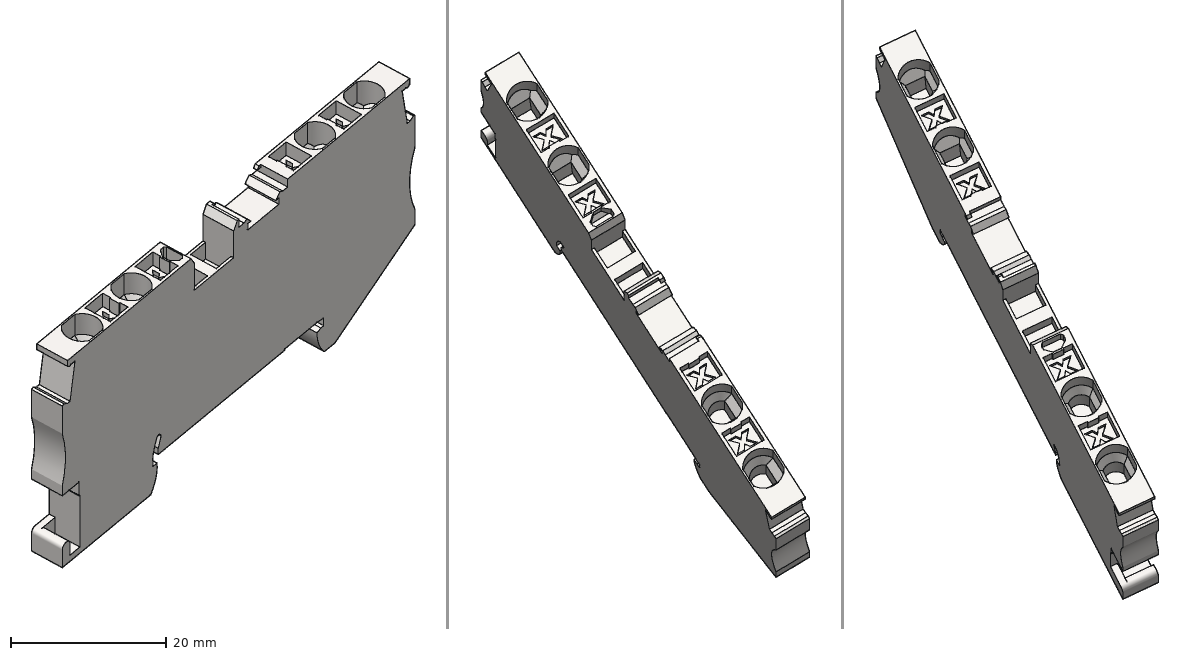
import cadquery as cq
import math

thickness = 5.1
length = 72.2
height = 35.2
half_length = length / 2

lip_reach = 35.0
lip_height = 1.0
lip_bead_drop = 0.3
lip_bead_reach = 34.6
lip_inner_reach = 34.3
groove_top = 34.1
groove_bottom = 27.8
groove_top_y = 33.5
groove_bottom_y = 34.5
ridge_foot_y = 35.1
ridge_crest_y = 35.75
ridge_crest = 28.2
ridge_end = 28.1

ramp_end_grip_top = 22.5
ramp_end_grip_bottom = 11.8
ramp_end_grip_depth = 1.1
window_end_grip_top = 23.25
window_end_grip_bottom = 14.2
window_end_grip_depth = 0.65

ramp_end_y = 19.7
ramp_height = 9.1
rail_ceiling = 5.9
raised_ceiling = 6.15
raised_ceiling_start_y = 16.0
raised_ceiling_end_y = 9.45

fixed_foot_base_y = 17.55
fixed_foot_flank = (16.5, 1.7)
fixed_foot_nose = (16.0, 4.3)
fixed_foot_step = (16.8, 4.6)
rail_notch_y = 17.4

sprung_foot_base_y = -18.0
sprung_foot_flank = (-16.9, 2.25)
sprung_foot_nose_y = -16.7
sprung_foot_step = 4.6
relief_mouth_y = -16.45
relief_bend = 7.0
relief_end = (-15.9, 8.75)
relief_crown = (-16.3, 9.25)
relief_shoulder = (-16.8, 8.9)
relief_outer_side = (-17.4, 7.1)
relief_outer_y = -17.55

window_wall_y = -32.6
window_lower_wall_y = -32.5
window_wall_step = 10.0
window_bottom = 3.9
window_top = 12.5
bead_radius = 0.8
bead_middle_y = -half_length + bead_radius
sill_groove_floor = 1.1
sill_skin = 1.0

trough_middle = 5.05
upper_half_width = 5.0
upper_floor = 33.85
lower_half_width = 3.2
lower_floor = 32.1
snap_half_width = 2.5
snap_bottom = 33.2
snap_top = 34.15
snap_shoulder = 3.4
snap_back = 4.0
tab_width = 0.65
tab_half_width = 4.25
tab_top_half_width = 4.6
tab_bottom = 34.7

channel_near_y = -1.0
channel_far_y = -9.0
channel_floor = 29.3
channel_chamfer_width = 0.7
channel_chamfer_height = 1.3

well_width = 4.25
well_depth = 2.9
near_well = (-4.05, channel_near_y)
far_well = (channel_far_y, -5.85)

entry_positions = (18.8, 28.9)
entry_radius = 2.7
entry_width = 4.6
entry_depth = 3.6
funnel_depth = 1.45
shaft_offset = 0.18
shaft_width = 2.8
shaft_radius = 1.8
shaft_flat = 1.4
shaft_floor_flat = 1.0
shaft_depth = 4.3

release_positions = (13.65, 23.9)
release_width = 4.2
release_length = 3.6
release_depth = 2.3
rib_width = 1.6
rib_height = 0.18
cross_depth = 0.7
cross_half_width = 1.5
cross_half_length = 1.1
cross_notch_half_width = 0.4
cross_notch_y = 0.4
cross_waist = 0.5

probe_near_y = -9.95
probe_far_y = -11.8
probe_depth = 2.3
probe_half_width = 1.6
probe_tip_half_width = 0.6
probe_corner = 0.3
probe_taper_y = -10.9
probe_ramp_width = 0.65


def profile():
    """Sketch plane with local x along Y and local y along Z."""
    return cq.Workplane("YZ")


def through(sketch):
    """Cutter reaching through the whole thickness."""
    return sketch.extrude(thickness, both=True)


def plan(z):
    """Horizontal sketch plane at height z."""
    return cq.Workplane("XY", origin=(0, 0, z))


def slab_between(y_low, y_high, width, z_top, depth):
    """Rectangular pocket, centred across the thickness."""
    middle = (y_low + y_high) / 2
    return plan(z_top).center(0, middle).rect(width, y_high - y_low).extrude(-depth)


def end_groove(side):
    points = [
        (half_length, height),
        (lip_reach, height),
        (lip_reach, height - lip_height),
        (lip_bead_reach, height - lip_height - lip_bead_drop),
        (lip_inner_reach, groove_top),
        (groove_top_y, groove_top),
        (groove_bottom_y, groove_bottom),
        (ridge_foot_y, groove_bottom),
        (ridge_crest_y, ridge_crest),
        (half_length, ridge_end),
    ]
    return through(profile().polyline([(side * y, z) for y, z in points]).close())


def grip(side, top, bottom, depth):
    end = side * half_length
    deepest = (side * (half_length - depth), (top + bottom) / 2)
    return through(profile().moveTo(end, top).threePointArc(deepest, (end, bottom)).close())


def ramp():
    corner = [(half_length, ramp_height), (half_length, 0), (ramp_end_y, 0)]
    return through(profile().polyline(corner).close())


def rail_recess():
    """Opening for the rail: fixed foot at +Y, sprung foot with its relief slot at -Y."""
    sketch = (
        profile()
        .moveTo(fixed_foot_base_y, 0)
        .threePointArc(fixed_foot_flank, fixed_foot_nose)
        .lineTo(*fixed_foot_step)
        .lineTo(rail_notch_y, fixed_foot_step[1])
        .lineTo(rail_notch_y, rail_ceiling)
        .lineTo(raised_ceiling_start_y, raised_ceiling)
        .lineTo(raised_ceiling_end_y, raised_ceiling)
        .lineTo(raised_ceiling_end_y, rail_ceiling)
        .lineTo(relief_mouth_y, rail_ceiling)
        .lineTo(relief_mouth_y, relief_bend)
        .lineTo(*relief_end)
        .threePointArc(relief_crown, relief_shoulder)
        .threePointArc(relief_outer_side, (relief_outer_y, sprung_foot_step))
        .lineTo(sprung_foot_nose_y, sprung_foot_step)
        .threePointArc(sprung_foot_flank, (sprung_foot_base_y, 0))
        .close()
    )
    return through(sketch)


def end_window():
    """Opening in the -Y end whose sill is rounded over at the end face."""
    slant = bead_radius * math.sqrt(0.5)
    sketch = (
        profile()
        .moveTo(-half_length, window_top)
        .lineTo(window_wall_y, window_top)
        .lineTo(window_wall_y, window_wall_step)
        .lineTo(window_lower_wall_y, window_wall_step)
        .lineTo(window_lower_wall_y, window_bottom)
        .lineTo(bead_middle_y, window_bottom)
        .threePointArc(
            (bead_middle_y - slant, window_bottom - bead_radius + slant),
            (-half_length, window_bottom - bead_radius),
        )
        .close()
    )
    return through(sketch)


def sill_groove():
    """Groove behind the bead, open at +X and closed by a thin skin at -X."""
    slant = bead_radius * math.sqrt(0.5)
    bead_back_y = bead_middle_y + bead_radius
    sketch = (
        cq.Workplane("YZ", origin=(sill_skin - thickness / 2, 0, 0))
        .moveTo(bead_middle_y, window_bottom)
        .lineTo(window_lower_wall_y, window_bottom)
        .lineTo(window_lower_wall_y, sill_groove_floor)
        .lineTo(bead_back_y, sill_groove_floor)
        .lineTo(bead_back_y, window_bottom - bead_radius)
        .threePointArc(
            (bead_middle_y + slant, window_bottom - bead_radius + slant),
            (bead_middle_y, window_bottom),
        )
        .close()
    )
    return sketch.extrude(thickness)


def marker_trough():
    half_outline = [
        (upper_half_width, height),
        (upper_half_width, upper_floor),
        (snap_back, upper_floor),
        (snap_shoulder, snap_top),
        (snap_half_width, snap_bottom),
        (lower_half_width, snap_bottom),
        (lower_half_width, lower_floor),
    ]
    right = [(trough_middle + y, z) for y, z in half_outline]
    left = [(trough_middle - y, z) for y, z in reversed(half_outline)]
    return through(profile().polyline(right + left).close())


def snap_tab(side):
    """Short lip overhanging the trough, only along the -X face."""
    points = [
        (upper_half_width, height),
        (tab_top_half_width, height),
        (tab_half_width, tab_bottom),
        (upper_half_width, tab_bottom),
    ]
    placed = [(trough_middle + side * y, z) for y, z in points]
    start = cq.Workplane("YZ", origin=(-thickness / 2, 0, 0))
    return start.polyline(placed).close().extrude(tab_width)


def bridge_channel():
    chamfer_z = height - channel_chamfer_height
    points = [
        (channel_near_y + channel_chamfer_width, height),
        (channel_near_y, chamfer_z),
        (channel_near_y, channel_floor),
        (channel_far_y, channel_floor),
        (channel_far_y, chamfer_z),
        (channel_far_y - channel_chamfer_width, height),
    ]
    return through(profile().polyline(points).close())


def d_outline(sketch, radius, width, flat, x_middle=0.0):
    """D shape: flat edge towards +Y, arc of the given radius about the entry axis towards -Y."""
    left = x_middle - width / 2
    right = x_middle + width / 2
    left_y = -math.sqrt(radius**2 - left**2)
    right_y = -math.sqrt(radius**2 - right**2)
    return (
        sketch.moveTo(left, flat)
        .lineTo(left, left_y)
        .threePointArc((0, -radius), (right, right_y))
        .lineTo(right, flat)
        .close()
    )


def wire_entry():
    """Round mouth flattened near the side faces, funnel, then a D-shaped shaft; flat side at +Y."""
    mouth_floor = height - entry_depth
    shaft_top = mouth_floor - funnel_depth
    envelope = plan(height).circle(entry_radius).extrude(-entry_depth - funnel_depth)
    mouth = envelope.intersect(plan(mouth_floor).rect(entry_width, length).extrude(entry_depth))
    funnel = d_outline(plan(mouth_floor), entry_radius, entry_width, entry_radius)
    funnel = funnel.workplane(offset=-funnel_depth)
    funnel = d_outline(funnel, shaft_radius, shaft_width, shaft_flat, shaft_offset).loft(ruled=True)
    shaft = d_outline(plan(shaft_top), shaft_radius, shaft_width, shaft_flat, shaft_offset)
    shaft = shaft.workplane(offset=-shaft_depth)
    shaft = d_outline(shaft, shaft_radius, shaft_width, shaft_floor_flat, shaft_offset).loft(ruled=True)
    return mouth.union(funnel.intersect(envelope)).union(shaft)


def release_pocket():
    """Rectangular pocket with a low rib on its -Y wall and a cross recess in its floor."""
    floor = height - release_depth
    pocket = plan(height).rect(release_width, release_length).extrude(-release_depth)
    rib_middle = (rib_height - release_length) / 2
    rib = plan(height).center(0, rib_middle).rect(rib_width, rib_height).extrude(-release_depth)
    half_cross = [
        (0, cross_notch_y),
        (cross_notch_half_width, cross_half_length),
        (cross_half_width, cross_half_length),
        (cross_waist, 0),
        (cross_half_width, -cross_half_length),
        (cross_notch_half_width, -cross_half_length),
        (0, -cross_notch_y),
    ]
    mirrored = [(-x, y) for x, y in reversed(half_cross[1:-1])]
    cross = plan(floor).polyline(half_cross + mirrored).close().extrude(-cross_depth)
    return pocket.cut(rib).union(cross)


def probe_pocket():
    half_outline = [
        (probe_half_width - probe_corner, probe_near_y),
        (probe_half_width, probe_near_y - probe_corner),
        (probe_half_width, probe_taper_y),
        (probe_tip_half_width, probe_far_y),
    ]
    mirrored = [(-x, y) for x, y in reversed(half_outline)]
    pocket = plan(height).polyline(half_outline + mirrored).close().extrude(-probe_depth)
    floor = height - probe_depth
    ramp_points = [
        (probe_far_y, floor),
        (probe_far_y + probe_ramp_width, floor),
        (probe_far_y, floor + probe_ramp_width),
    ]
    return pocket.cut(through(profile().polyline(ramp_points).close()))


body = plan(0).rect(thickness, length).extrude(height)
for end_side in (1, -1):
    body = body.cut(end_groove(end_side))
body = body.cut(grip(1, ramp_end_grip_top, ramp_end_grip_bottom, ramp_end_grip_depth))
body = body.cut(grip(-1, window_end_grip_top, window_end_grip_bottom, window_end_grip_depth))
body = body.cut(ramp()).cut(rail_recess()).cut(end_window()).cut(sill_groove())
body = body.cut(marker_trough()).cut(bridge_channel())
for trough_side in (1, -1):
    body = body.union(snap_tab(trough_side))

for well_low, well_high in (near_well, far_well):
    body = body.cut(slab_between(well_low, well_high, well_width, channel_floor, well_depth))

openings = [(wire_entry(), y) for y in entry_positions]
openings += [(release_pocket(), y) for y in release_positions]
for opening, opening_y in openings:
    placed_opening = opening.translate((0, opening_y, 0))
    body = body.cut(placed_opening).cut(placed_opening.mirror("XZ"))

result = body.cut(probe_pocket())